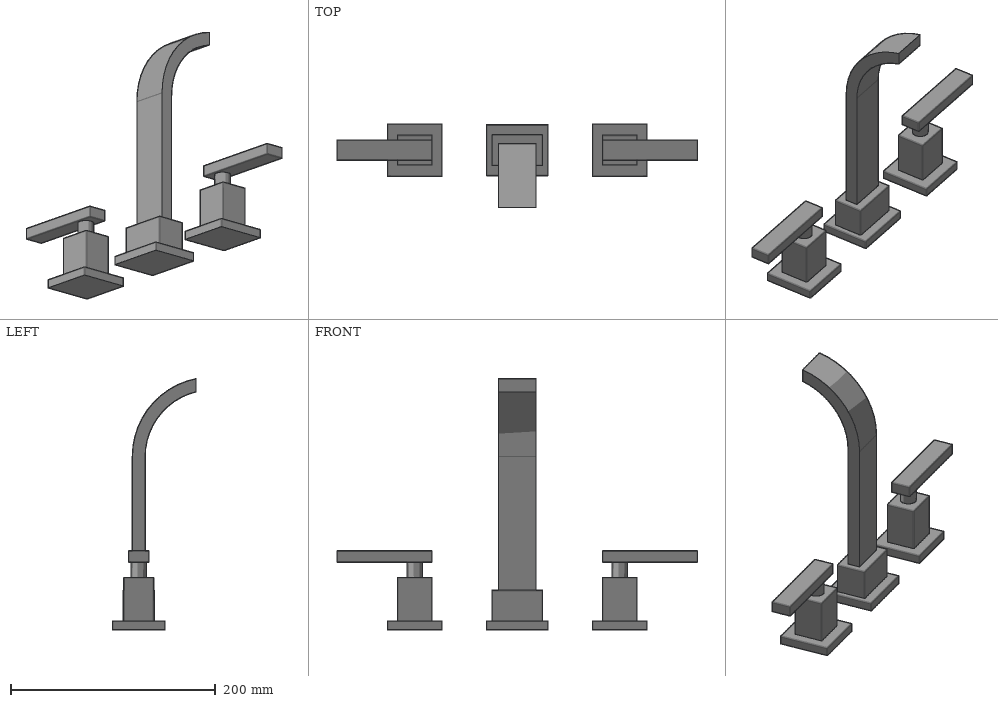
import cadquery as cq
import math

edge_radius = 0.75
plate_height = 8.7

spout_plate_width = 60.4
spout_plate_depth = 50.0
spout_block_width = 49.5
spout_block_depth = 30.3
spout_block_top = 38.8
spout_width = 37.0
spout_thickness = 12.7
spout_back_y = spout_thickness / 2
spout_tip_y = -55.96
spout_top = 245.23
bend_inner_radius = 65.0

overall_width = 352.4
handle_tip_x = overall_width / 2
handle_length = 93.2
handle_width = 20.1
handle_thickness = 11.3
handle_top = 77.2
valve_plate_width = 53.6
valve_plate_depth = 51.4
valve_block_width = 34.1
valve_block_depth = 29.4
valve_block_top = 51.2
stem_diameter = 15.6

handle_inner_x = handle_tip_x - handle_length
valve_x = handle_inner_x + valve_block_width / 2


def block(width, depth, bottom, top, center_x=0.0):
    """Rectangular block centred on y = 0 between two heights."""
    return (
        cq.Workplane("XY", origin=(center_x, 0, bottom))
        .rect(width, depth)
        .extrude(top - bottom)
    )


def rounded_block(width, depth, bottom, top, center_x=0.0):
    """Block with its upright and top edges rounded."""
    return block(width, depth, bottom, top, center_x).edges("|Z or >Z").fillet(edge_radius)


def make_spout_neck():
    """Flat bar that rises straight, then bends forward to a vertical end face."""
    inner_y = spout_back_y - spout_thickness
    outer_radius = bend_inner_radius + spout_thickness
    center_y = spout_back_y - outer_radius

    tip_offset = spout_tip_y - center_y
    outer_end_angle = math.acos(tip_offset / outer_radius)
    inner_end_angle = math.acos(tip_offset / bend_inner_radius)
    center_z = spout_top - outer_radius * math.sin(outer_end_angle)

    def bend_point(radius, angle):
        return (center_y + radius * math.cos(angle), center_z + radius * math.sin(angle))

    return (
        cq.Workplane("YZ")
        .moveTo(inner_y, spout_block_top)
        .lineTo(spout_back_y, spout_block_top)
        .lineTo(spout_back_y, center_z)
        .threePointArc(
            bend_point(outer_radius, outer_end_angle / 2),
            bend_point(outer_radius, outer_end_angle),
        )
        .lineTo(*bend_point(bend_inner_radius, inner_end_angle))
        .threePointArc(
            bend_point(bend_inner_radius, inner_end_angle / 2),
            bend_point(bend_inner_radius, 0),
        )
        .close()
        .extrude(spout_width / 2, both=True)
    )


def make_spout():
    """Base plate, block and curved neck as one body."""
    plate = rounded_block(spout_plate_width, spout_plate_depth, 0, plate_height)
    base = rounded_block(spout_block_width, spout_block_depth, plate_height, spout_block_top)
    return plate.union(base).union(make_spout_neck())


def make_valve():
    """Base plate, block, round stem and lever pointing along +X as one body."""
    plate = rounded_block(valve_plate_width, valve_plate_depth, 0, plate_height, valve_x)
    body = rounded_block(valve_block_width, valve_block_depth, plate_height, valve_block_top, valve_x)
    handle_bottom = handle_top - handle_thickness
    stem = (
        cq.Workplane("XY", origin=(valve_x, 0, valve_block_top))
        .circle(stem_diameter / 2)
        .extrude(handle_bottom - valve_block_top)
    )
    handle_x = handle_inner_x + handle_length / 2
    handle = block(handle_length, handle_width, handle_bottom, handle_top, handle_x)
    handle = handle.edges().fillet(edge_radius)
    return plate.union(body).union(stem).union(handle)


spout = make_spout()

valves = []
for turn in (0, 180):
    valves.append(make_valve().rotate((0, 0, 0), (0, 0, 1), turn))

result = cq.Compound.makeCompound([spout.val(), *[valve.val() for valve in valves]])